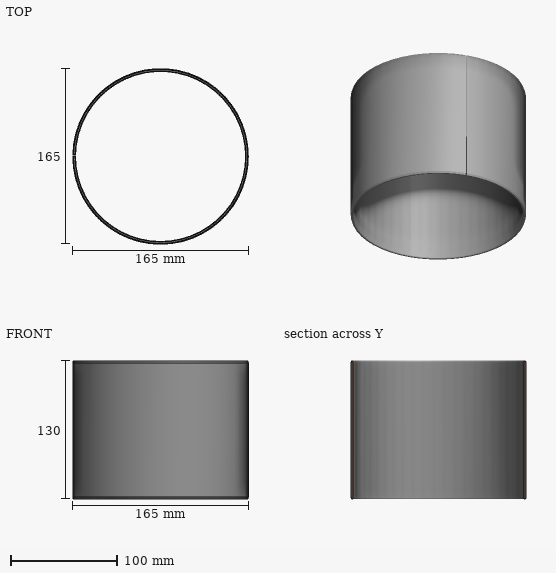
import cadquery as cq
import math

outer_diameter = 165.0
height = 130.0
wall_thickness = 2.5

outer_bevel_height = 1.8
outer_bevel_angle = 20.0

bore_bevel_height = 0.6
bore_bevel_angle = 30.0

slit_width = 1.44

outer_radius = outer_diameter / 2
inner_radius = outer_radius - wall_thickness
outer_bevel_depth = outer_bevel_height * math.tan(math.radians(outer_bevel_angle))
bore_bevel_depth = bore_bevel_height * math.tan(math.radians(bore_bevel_angle))
rim_outer_radius = outer_radius - outer_bevel_depth
rim_inner_radius = inner_radius + bore_bevel_depth


def wall_section():
    """Radial section of the wall, bevelled on both faces at both ends."""
    corners = [
        (rim_inner_radius, 0),
        (rim_outer_radius, 0),
        (outer_radius, outer_bevel_height),
        (outer_radius, height - outer_bevel_height),
        (rim_outer_radius, height),
        (rim_inner_radius, height),
        (inner_radius, height - bore_bevel_height),
        (inner_radius, bore_bevel_height),
    ]
    return cq.Workplane("XZ").polyline(corners).close()


def make_sleeve():
    """Closed sleeve: the wall section revolved a full turn about Z."""
    return wall_section().revolve(360, (0, 0, 0), (0, 1, 0))


def make_slit_cutter():
    """Full-height slab reaching from the axis past the -X side of the wall."""
    slab = cq.Workplane("XY").box(outer_diameter, slit_width, height, centered=False)
    return slab.translate((-outer_diameter, 0, 0))


result = make_sleeve().cut(make_slit_cutter())